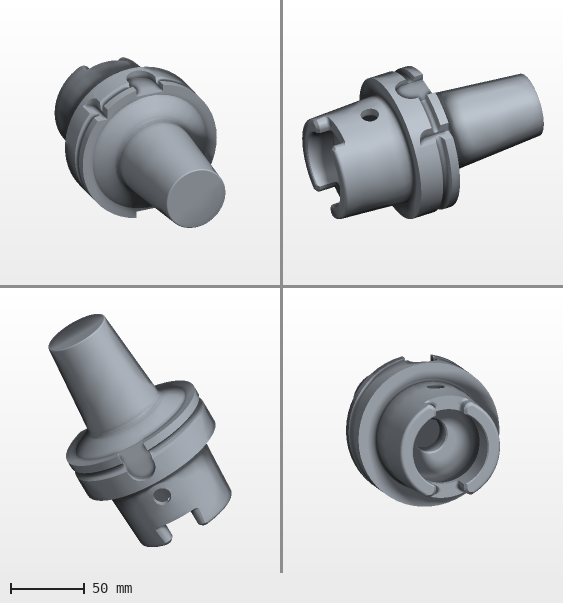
import cadquery as cq
import math

length = 155.0

plane_tolerance = 0.2

shank_slope = 1 / 20
shank_nose_radius = 35.5
shank_length = 47.1
nose_rounding = 2.2
relief_radius = 37.7
relief_start = 48.0
relief_rounding = 1.4

flange_diameter = 100.0
flange_radius = flange_diameter / 2
flange_start = 50.0
flange_end = 79.0
groove_start = 66.3
groove_end = 73.0
groove_floor_start = 68.4
groove_floor_end = 71.3
groove_depth = 4.0
groove_rounding = 1.4

cone_radius = 42.5
neck_start = 87.7
neck_radius = 27.5
neck_end_radius = 22.0
cone_rounding = 3.7
neck_end_rounding = 1.0

bore_radius = 26.5
bore_chamfer = 0.8
undercut_radius = 31.5
undercut_start = 19.4
undercut_end = 22.3
floor_rounding = 6.7
bore_depth = 46.8
coolant_radius = 11.3
coolant_chamfer = 1.1
coolant_depth = 15.5

nose_slot_half_width = 9.9
nose_slot_flare = 5.1
nose_slot_flare_top = 32.1
nose_slot_rounding = 1.9
nose_slot_chamfer = 2.0
upper_nose_slot_depth = 9.9
lower_nose_slot_depth = 15.0

cross_hole_radius = 6.2
cross_hole_position = 34.7

flange_slot_radius = 9.9
flange_slot_start = 54.7
flange_slot_floor = 44.0
notch_offset = 31.5
notch_end_radius = 7.5
notch_straight_start = 62.3
slot_floor_rounding = 0.5


def round_circle(solid, x, radius, rounding):
    """Round the smallest circular edge found in the plane at x."""
    plane_slab = cq.selectors.BoxSelector(
        (x - plane_tolerance, -radius - plane_tolerance, -radius - plane_tolerance),
        (x + plane_tolerance, radius + plane_tolerance, radius + plane_tolerance),
        boundingbox=True,
    )
    smallest = cq.selectors.RadiusNthSelector(0)
    return solid.edges(plane_slab).edges("%CIRCLE").edges(smallest).fillet(rounding)


def turned_body():
    """Solid of revolution with all outer steps, before any milling."""
    shank_end_radius = shank_nose_radius + shank_slope * shank_length
    groove_floor = flange_radius - groove_depth
    outline = (
        cq.Workplane("XY")
        .polyline([
            (0, 0),
            (0, shank_nose_radius),
            (shank_length, shank_end_radius),
            (relief_start, relief_radius),
            (flange_start, relief_radius),
            (flange_start, flange_radius),
            (groove_start, flange_radius),
            (groove_floor_start, groove_floor),
            (groove_floor_end, groove_floor),
            (groove_end, flange_radius),
            (flange_end, flange_radius),
            (flange_end, cone_radius),
            (neck_start, neck_radius),
            (length, neck_end_radius),
            (length, 0),
        ])
        .close()
    )
    body = outline.revolve(360, (0, 0, 0), (1, 0, 0))

    body = round_circle(body, flange_start, relief_radius, relief_rounding)
    body = round_circle(body, groove_floor_start, groove_floor, groove_rounding)
    body = round_circle(body, groove_floor_end, groove_floor, groove_rounding)
    body = round_circle(body, neck_start, neck_radius, cone_rounding)
    return round_circle(body, length, neck_end_radius, neck_end_rounding)


def clamping_bore():
    """Stepped bore from the nose, with an undercut, a rounded floor and a coolant bore."""
    corner_start = bore_depth - floor_rounding
    corner_radius = undercut_radius - floor_rounding
    diagonal = floor_rounding * math.sqrt(0.5)
    coolant_end = bore_depth + coolant_depth
    return (
        cq.Workplane("XY")
        .moveTo(0, 0)
        .lineTo(0, bore_radius + bore_chamfer)
        .lineTo(bore_chamfer, bore_radius)
        .lineTo(undercut_start, bore_radius)
        .lineTo(undercut_end, undercut_radius)
        .lineTo(corner_start, undercut_radius)
        .threePointArc(
            (corner_start + diagonal, corner_radius + diagonal),
            (bore_depth, corner_radius),
        )
        .lineTo(bore_depth, coolant_radius + coolant_chamfer)
        .lineTo(bore_depth + coolant_chamfer, coolant_radius)
        .lineTo(coolant_end, coolant_radius)
        .lineTo(coolant_end, 0)
        .close()
        .revolve(360, (0, 0, 0), (1, 0, 0))
    )


def nose_slot(depth):
    """Slot through the +Z wall of the nose, flaring outwards in two quarter arcs."""
    flare_start = nose_slot_flare_top - nose_slot_flare
    flare_width = nose_slot_half_width + nose_slot_flare
    diagonal = nose_slot_flare * math.sqrt(0.5)
    outside = flange_radius
    inside = coolant_radius
    return (
        cq.Workplane("YZ")
        .moveTo(-nose_slot_half_width, inside)
        .lineTo(nose_slot_half_width, inside)
        .lineTo(nose_slot_half_width, flare_start)
        .threePointArc(
            (flare_width - diagonal, flare_start + diagonal),
            (flare_width, nose_slot_flare_top),
        )
        .lineTo(outside, nose_slot_flare_top)
        .lineTo(outside, outside)
        .lineTo(-outside, outside)
        .lineTo(-outside, nose_slot_flare_top)
        .lineTo(-flare_width, nose_slot_flare_top)
        .threePointArc(
            (diagonal - flare_width, flare_start + diagonal),
            (-nose_slot_half_width, flare_start),
        )
        .close()
        .extrude(depth)
        .faces(">X")
        .edges()
        .fillet(nose_slot_rounding)
    )


def finish_nose_edges(solid):
    """Chamfer the mouths of the nose slots, then round the outer rim of the nose."""
    half_width = nose_slot_half_width + 2 * nose_slot_flare
    upper_mouth, lower_mouth = [
        cq.selectors.BoxSelector(
            (-plane_tolerance, -half_width, side * (coolant_radius + plane_tolerance)),
            (plane_tolerance, half_width, side * flange_radius),
        )
        for side in (1, -1)
    ]
    solid = solid.faces("<X").edges(upper_mouth + lower_mouth).chamfer(nose_slot_chamfer)

    rim_radius = shank_nose_radius + shank_slope * nose_rounding
    rim_waste = (
        cq.Workplane("XY")
        .moveTo(0, rim_radius - nose_rounding)
        .radiusArc((nose_rounding, rim_radius), nose_rounding)
        .lineTo(0, flange_radius)
        .close()
        .revolve(360, (0, 0, 0), (1, 0, 0))
    )
    return solid.cut(rim_waste)


def flange_slot():
    """Round-ended slot milled along X into the flange rim, open towards the neck."""
    arc_center = flange_slot_start + flange_slot_radius
    return (
        cq.Workplane("XY", origin=(0, 0, flange_slot_floor))
        .moveTo(length, -flange_slot_radius)
        .lineTo(arc_center, -flange_slot_radius)
        .threePointArc((flange_slot_start, 0), (arc_center, flange_slot_radius))
        .lineTo(length, flange_slot_radius)
        .close()
        .extrude(flange_radius - flange_slot_floor)
        .faces("<Z")
        .edges()
        .fillet(slot_floor_rounding)
    )


def corner_notch():
    """Square step in the flange rim between -Y and +Z, with one round end."""
    end_start = notch_straight_start - notch_end_radius
    wall = -notch_offset
    arc_end = wall - notch_end_radius
    diagonal = notch_end_radius * math.sqrt(0.5)
    return (
        cq.Workplane("XY", origin=(0, 0, notch_offset))
        .moveTo(length, wall)
        .lineTo(notch_straight_start, wall)
        .threePointArc(
            (notch_straight_start - diagonal, arc_end + diagonal),
            (end_start, arc_end),
        )
        .lineTo(end_start, -flange_radius)
        .lineTo(length, -flange_radius)
        .close()
        .extrude(flange_radius - notch_offset)
        .faces("<Z")
        .edges()
        .fillet(slot_floor_rounding)
    )


def cross_hole():
    """Hole through both shank walls along Z."""
    return (
        cq.Workplane("XY", origin=(cross_hole_position, 0, -flange_radius))
        .circle(cross_hole_radius)
        .extrude(2 * flange_radius)
    )


result = turned_body()
result = result.cut(nose_slot(upper_nose_slot_depth))
result = result.cut(nose_slot(lower_nose_slot_depth).mirror("XY"))
result = finish_nose_edges(result)
result = result.cut(clamping_bore())
result = result.cut(cross_hole())
result = result.cut(flange_slot())
result = result.cut(flange_slot().mirror("XY"))
result = result.cut(corner_notch())